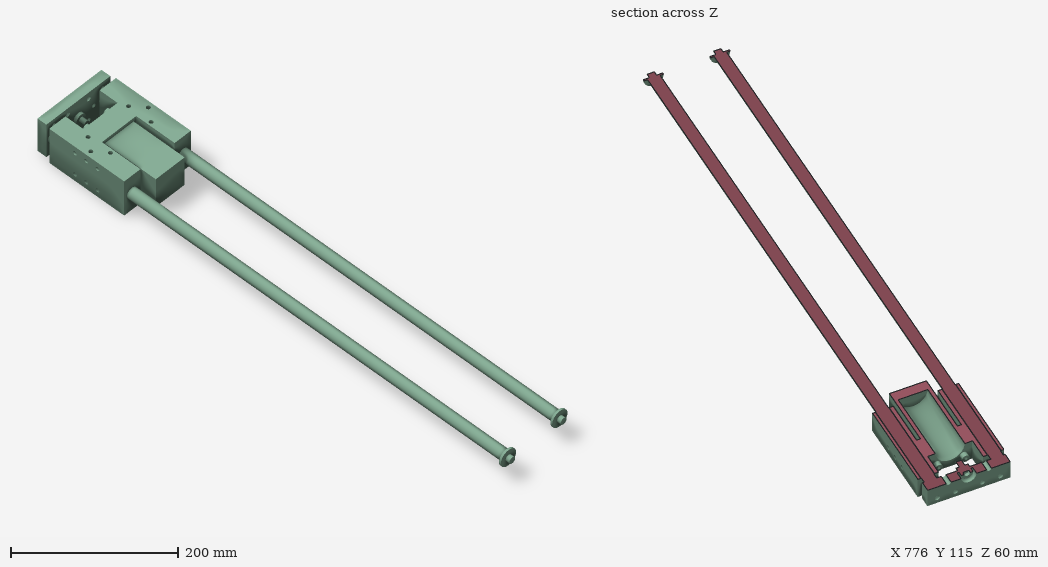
import cadquery as cq

OVERALL_LENGTH = 776.0
OVERLAP = 1.0

HOUSING_START = 22.0
HOUSING_LENGTH = 124.0
HOUSING_WIDTH = 115.0
HOUSING_HEIGHT = 60.0
WEB_START = 51.0
WEB_THICKNESS = 31.0
ARM_GAP = 59.0
BOX_END = 167.0
BOX_WIDTH = 50.0
BOX_HEIGHT = 48.0
WEB_BORE_DIAMETER = 39.0
WEB_BORE_DEPTH = 101.0

PORT_LENGTH = 10.0
PORT_HEIGHT = 3.0
PORT_DEPTH = 2.0
PORT_Z = -19.5
PORT_START = 147.5

MOUNT_HOLE_DIAMETER = 6.0
MOUNT_HOLE_DEPTH = 9.0
MOUNT_PITCH = 37.0
MOUNT_CENTRE_X = 83.0
TOP_INNER_OFFSET = 35.0
TOP_OUTER_OFFSET = 50.0

SCREW_OFFSET_Y = 18.0
SCREW_PITCH_Z = 37.0
SCREW_HEAD_DIAMETER = 10.0
SCREW_HEAD_LENGTH = 7.0
SCREW_SOCKET_DIAMETER = 4.1
SCREW_SOCKET_DEPTH = 3.0

PLATE_THICKNESS = 15.0
PLATE_WIDTH = 110.0
PLATE_HEIGHT = 57.0
PLATE_HOLE_PITCH_Z = 37.0
OUTER_HOLE_PITCH_Y = 84.0
OUTER_HOLE_DIAMETER = 7.0
ACCESS_HOLE_DIAMETER = 6.6
CENTRE_HOLE_PITCH_Y = 53.5
CENTRE_HOLE_DIAMETER = 6.0
RECESS_DIAMETER = 20.0
RECESS_DEPTH = 11.0
BOLT_HEAD_DIAMETER = 16.0
BOLT_HEAD_LENGTH = 6.0
BOLT_SOCKET_DIAMETER = 8.0
BOLT_SOCKET_DEPTH = 4.0

COUPLING_FLANGE_DIAMETER = 16.0
COUPLING_FLANGE_LENGTH = 5.0
COUPLING_STUD_DIAMETER = 8.0
COUPLING_END = 29.0

ROD_DIAMETER = 17.0
ROD_SPACING = 88.5
WASHER_DIAMETER = 26.0
WASHER_THICKNESS = 3.0
END_SCREW_DIAMETER = 10.0
END_SCREW_LENGTH = 6.0

HOUSING_END = HOUSING_START + HOUSING_LENGTH
HOUSING_TOP = HOUSING_HEIGHT / 2
WEB_END = WEB_START + WEB_THICKNESS
PLATE_Z = (HOUSING_HEIGHT - PLATE_HEIGHT) / 2
WASHER_END = OVERALL_LENGTH - END_SCREW_LENGTH
WASHER_START = WASHER_END - WASHER_THICKNESS
ROD_SIDES = (-ROD_SPACING / 2, ROD_SPACING / 2)


def box_between(start, end, width, height, z=0.0):
    """Box from X = start to X = end, centred on Y = 0 and on the given Z."""
    box = cq.Workplane("XY").box(end - start, width, height)
    return box.translate(((start + end) / 2, 0, z))


def rod_between(start, end, diameter, points):
    """Cylinders along +X from X = start to X = end at each (y, z) point."""
    plane = cq.Workplane("YZ", origin=(start, 0, 0))
    return plane.pushPoints(points).circle(diameter / 2).extrude(end - start)


def grid(pitch_y, pitch_z):
    """Four (y, z) points, symmetric about both axes."""
    return [(y, z) for y in (-pitch_y / 2, pitch_y / 2) for z in (-pitch_z / 2, pitch_z / 2)]


def top_mount_holes():
    """Three holes in the top face of each arm, the middle one set further out."""
    points = []
    for side in (-1, 1):
        points.append((MOUNT_CENTRE_X, side * TOP_OUTER_OFFSET))
        for step in (-MOUNT_PITCH / 2, MOUNT_PITCH / 2):
            points.append((MOUNT_CENTRE_X + step, side * TOP_INNER_OFFSET))
    plane = cq.Workplane("XY", origin=(0, 0, HOUSING_TOP - MOUNT_HOLE_DEPTH))
    return plane.pushPoints(points).circle(MOUNT_HOLE_DIAMETER / 2).extrude(MOUNT_HOLE_DEPTH + OVERLAP)


def side_mount_holes():
    """Two rows of three holes in the -Y side face; the mirrored copy serves the +Y face."""
    points = []
    for step in (-MOUNT_PITCH / 2, 0, MOUNT_PITCH / 2):
        for z in (-MOUNT_PITCH / 2, MOUNT_PITCH / 2):
            points.append((MOUNT_CENTRE_X + step, z))
    plane = cq.Workplane("XZ", origin=(0, MOUNT_HOLE_DEPTH - HOUSING_WIDTH / 2, 0))
    return plane.pushPoints(points).circle(MOUNT_HOLE_DIAMETER / 2).extrude(MOUNT_HOLE_DEPTH + OVERLAP)


def make_housing():
    """H-shaped housing with its rear box, bores, cap screws and mounting holes."""
    body = box_between(HOUSING_START, HOUSING_END, HOUSING_WIDTH, HOUSING_HEIGHT)

    body = body.cut(box_between(HOUSING_START - OVERLAP, WEB_START, ARM_GAP, HOUSING_HEIGHT + OVERLAP))
    body = body.cut(box_between(WEB_END, HOUSING_END + OVERLAP, ARM_GAP, HOUSING_HEIGHT + OVERLAP))

    body = body.union(box_between(WEB_END - OVERLAP, BOX_END, BOX_WIDTH, BOX_HEIGHT))
    body = body.cut(rod_between(WEB_START - OVERLAP, WEB_START + WEB_BORE_DEPTH, WEB_BORE_DIAMETER, [(0, 0)]))
    port = cq.Workplane("XY").box(PORT_LENGTH, PORT_DEPTH * 2, PORT_HEIGHT)
    body = body.cut(port.translate((PORT_START + PORT_LENGTH / 2, -BOX_WIDTH / 2, PORT_Z)))

    rod_points = [(y, 0) for y in ROD_SIDES]
    body = body.cut(rod_between(HOUSING_START - OVERLAP, HOUSING_END + OVERLAP, ROD_DIAMETER, rod_points))

    heads = grid(2 * SCREW_OFFSET_Y, SCREW_PITCH_Z)
    head_start = WEB_START - SCREW_HEAD_LENGTH
    body = body.union(rod_between(head_start, WEB_START + OVERLAP, SCREW_HEAD_DIAMETER, heads))
    body = body.cut(rod_between(head_start, head_start + SCREW_SOCKET_DEPTH, SCREW_SOCKET_DIAMETER, heads))

    side_holes = side_mount_holes()
    body = body.cut(top_mount_holes()).cut(side_holes).cut(side_holes.mirror("XZ"))
    return body


def plate_holes():
    """Through holes of the front plate."""
    outer = grid(OUTER_HOLE_PITCH_Y, PLATE_HOLE_PITCH_Z)
    access = grid(2 * SCREW_OFFSET_Y, PLATE_HOLE_PITCH_Z)
    centre = [(-CENTRE_HOLE_PITCH_Y / 2, 0), (CENTRE_HOLE_PITCH_Y / 2, 0)]
    start, end = -OVERLAP, PLATE_THICKNESS + OVERLAP
    holes = rod_between(start, end, OUTER_HOLE_DIAMETER, outer)
    holes = holes.union(rod_between(start, end, ACCESS_HOLE_DIAMETER, access))
    holes = holes.union(rod_between(start, end, CENTRE_HOLE_DIAMETER, centre))
    return holes


def make_slide():
    """Front plate with its recessed bolt, coupling stud and two guide rods."""
    plate = box_between(0, PLATE_THICKNESS, PLATE_WIDTH, PLATE_HEIGHT, PLATE_Z)
    plate = plate.cut(plate_holes())

    plate = plate.cut(rod_between(-OVERLAP, RECESS_DEPTH, RECESS_DIAMETER, [(0, 0)]))
    head_start = RECESS_DEPTH - BOLT_HEAD_LENGTH
    plate = plate.union(rod_between(head_start, RECESS_DEPTH + OVERLAP, BOLT_HEAD_DIAMETER, [(0, 0)]))
    plate = plate.cut(rod_between(head_start, head_start + BOLT_SOCKET_DEPTH, BOLT_SOCKET_DIAMETER, [(0, 0)]))

    root = PLATE_THICKNESS - OVERLAP
    flange_end = PLATE_THICKNESS + COUPLING_FLANGE_LENGTH
    body = plate.union(rod_between(root, flange_end, COUPLING_FLANGE_DIAMETER, [(0, 0)]))
    body = body.union(rod_between(root, COUPLING_END, COUPLING_STUD_DIAMETER, [(0, 0)]))

    for y in ROD_SIDES:
        body = body.union(rod_between(PLATE_THICKNESS, WASHER_START, ROD_DIAMETER, [(y, 0)]))
        body = body.union(rod_between(WASHER_START, WASHER_END, WASHER_DIAMETER, [(y, 0)]))
        body = body.union(rod_between(WASHER_END, OVERALL_LENGTH, END_SCREW_DIAMETER, [(y, 0)]))
    return body


housing = make_housing()
slide = make_slide()

result = cq.Compound.makeCompound([housing.val(), slide.val()])